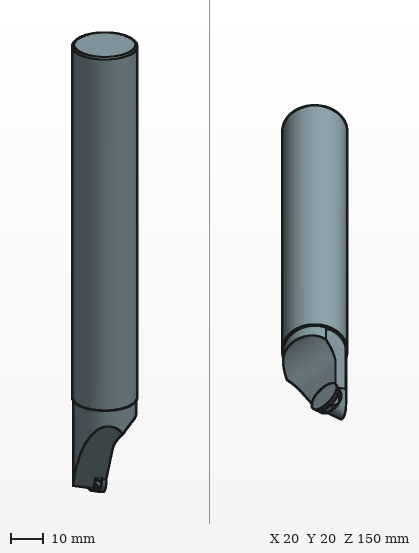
import cadquery as cq
import math

TOTAL_LENGTH = 150.0
SHANK_DIAMETER = 20.0
SHANK_BOTTOM = 32.4
TOP_CHAMFER = 0.6
BOTTOM_CHAMFER = 0.33

NECK_RADIUS = SHANK_DIAMETER / 2 - BOTTOM_CHAMFER
FLAT_DEPTH = 1.17
FLAT_X = FLAT_DEPTH - NECK_RADIUS
FLAT_TOP = 30.7
FLAT_RUNOUT_RADIUS = 1.6
RAKE_PLANE_Y = 0.0
GASH_RADIUS = 9.6
GASH_TOP = 27.5

RELIEF_ANGLE = 16.0
NOSE_RADIUS = 4.3
LONG_FLANK_ANGLE = 22.6
SHORT_FLANK_ANGLE = 18.0

INSERT_RADIUS = 5.1
INSERT_OVERHANG = 0.5
INSERT_X = FLAT_X - INSERT_OVERHANG + INSERT_RADIUS
INSERT_Z = INSERT_RADIUS
INSERT_THICKNESS = 3.3
INSERT_RIM = 1.3
INSERT_FACETS = 8
FACET_DISTANCE = 4.2

CLEARANCE = 7.5


def make_shank():
    height = TOTAL_LENGTH - SHANK_BOTTOM
    shank = cq.Workplane("XY").workplane(offset=SHANK_BOTTOM).circle(SHANK_DIAMETER / 2).extrude(height)
    return shank.faces(">Z").chamfer(TOP_CHAMFER).faces("<Z").chamfer(BOTTOM_CHAMFER)


def make_nose_envelope():
    """Drafted wedge: two flanks tangent to a nose arc, shrinking towards -Y."""
    start_y = SHANK_DIAMETER / 2
    radius = NOSE_RADIUS + start_y * math.tan(math.radians(RELIEF_ANGLE))
    top = SHANK_BOTTOM + CLEARANCE
    right = math.radians(LONG_FLANK_ANGLE)
    left = math.radians(SHORT_FLANK_ANGLE)

    right_tangent = (INSERT_X + radius * math.cos(right), INSERT_Z - radius * math.sin(right))
    left_tangent = (INSERT_X - radius * math.cos(left), INSERT_Z - radius * math.sin(left))
    right_top = (right_tangent[0] + (top - right_tangent[1]) * math.tan(right), top)
    left_top = (left_tangent[0] - (top - left_tangent[1]) * math.tan(left), top)
    return (
        cq.Workplane("XZ", origin=(0, start_y, 0))
        .moveTo(*left_top)
        .lineTo(*left_tangent)
        .threePointArc((INSERT_X, INSERT_Z - radius), right_tangent)
        .lineTo(*right_top)
        .close()
        .extrude(SHANK_DIAMETER, taper=RELIEF_ANGLE)
    )


def make_side_flat_cutter():
    """Removes the -X side of the neck, with a concave run-out at the top."""
    outer_x = -NECK_RADIUS - CLEARANCE
    arc_centre_x = FLAT_X - FLAT_RUNOUT_RADIUS
    arc_middle = FLAT_RUNOUT_RADIUS * math.sqrt(0.5)
    return (
        cq.Workplane("XZ")
        .moveTo(FLAT_X, -CLEARANCE)
        .lineTo(FLAT_X, FLAT_TOP)
        .threePointArc(
            (arc_centre_x + arc_middle, FLAT_TOP + arc_middle),
            (arc_centre_x, FLAT_TOP + FLAT_RUNOUT_RADIUS),
        )
        .lineTo(outer_x, FLAT_TOP + FLAT_RUNOUT_RADIUS)
        .lineTo(outer_x, -CLEARANCE)
        .close()
        .extrude(SHANK_DIAMETER, both=True)
    )


def make_gash_cutter():
    """Opens the +Y half of the neck down to the rake plane, rounded at its upper end."""
    outer_y = NECK_RADIUS + CLEARANCE
    arc_centre = (RAKE_PLANE_Y + GASH_RADIUS, GASH_TOP - GASH_RADIUS)
    arc_middle = GASH_RADIUS * math.sqrt(0.5)
    return (
        cq.Workplane("YZ")
        .moveTo(RAKE_PLANE_Y, -CLEARANCE)
        .lineTo(RAKE_PLANE_Y, arc_centre[1])
        .threePointArc((arc_centre[0] - arc_middle, arc_centre[1] + arc_middle), (arc_centre[0], GASH_TOP))
        .lineTo(outer_y, GASH_TOP)
        .lineTo(outer_y, -CLEARANCE)
        .close()
        .extrude(SHANK_DIAMETER, both=True)
    )


def make_neck():
    neck = cq.Workplane("XY").circle(NECK_RADIUS).extrude(SHANK_BOTTOM)
    neck = neck.intersect(make_nose_envelope())
    return neck.cut(make_side_flat_cutter()).cut(make_gash_cutter())


def make_insert():
    """Conical disc with a round rim on the rake plane and facets beneath the rim."""
    plane = cq.Workplane("XZ", origin=(INSERT_X, RAKE_PLANE_Y, INSERT_Z))
    cone = plane.circle(INSERT_RADIUS).extrude(INSERT_THICKNESS, taper=RELIEF_ANGLE)
    half_facet = math.pi / INSERT_FACETS
    facets = (
        plane.workplane(offset=INSERT_RIM)
        .transformed(rotate=(0, 0, math.degrees(half_facet)))
        .polygon(INSERT_FACETS, 2 * FACET_DISTANCE / math.cos(half_facet))
        .extrude(INSERT_THICKNESS - INSERT_RIM)
    )
    rim = plane.circle(INSERT_RADIUS).extrude(INSERT_RIM)
    return cone.intersect(rim.union(facets))


insert = make_insert()
holder = make_shank().union(make_neck()).cut(insert)

result = cq.Compound.makeCompound([holder.val(), insert.val()])